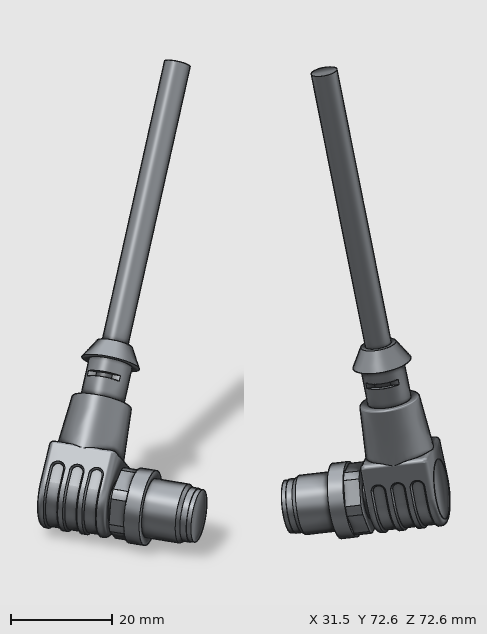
import cadquery as cq
import math

OVERALL = 72.6
TILT = 45.0

HOUSING_R = 7.25
HOUSING_HALF_LENGTH = 7.0
HOUSING_TOP = 8.85
HOUSING_DRAFT = 3.0
END_FILLET = 1.1
TOP_FILLET = 0.8
CAP_R = 12.0 / 2
CAP_RECESS = 0.1

GROOVE_COUNT = 3
GROOVE_PITCH = 4.0
GROOVE_WIDTH = 3.0
GROOVE_FLOOR_WIDTH = 2.3
GROOVE_DEPTH = 0.4
GROOVE_END = 4.4

BOOT_BASE_R = 6.8
BOOT_TOP_R = 12.0 / 2
BOOT_TOP = 19.6
BOOT_FILLET = 0.35
COLLAR_R = 8.7 / 2
SLIT_BOTTOM = 23.7
SLIT_HEIGHT = 1.1
SLIT_DEPTH = 1.5
SLIT_CORE_R = 3.3
SKIRT_BOTTOM = 27.6
SKIRT_TOP = 31.5
SKIRT_R = 11.7 / 2
SKIRT_TOP_R = 3.55
CABLE_R = 5.2 / 2

NECK_R = 8.7 / 2
NUT_START = 8.05
NUT_FLATS = 13.2
NUT_CORNER_R = 7.1
NUT_TURN = 30.0
FLANGE_START = 11.25
FLANGE_R = 15.0 / 2
BARREL_START = 14.45
BARREL_R = 11.8 / 2
TAPER_START = 21.4
TAPER_END = 22.2
NOSE_R = 10.8 / 2
TIP_START = 23.5
TIP_R = 10.5 / 2
PLUG_END = 24.5

CABLE_END = (OVERALL - FLANGE_R) / math.cos(math.radians(TILT)) - CABLE_R


def cylinder_z(radius, bottom, top):
    return cq.Workplane("XY").workplane(offset=bottom).circle(radius).extrude(top - bottom)


def turned_x(points):
    """Solid of revolution about X from (x, radius) points."""
    return cq.Workplane("XY").polyline(points).close().revolve(360, (0, 0, 0), (1, 0, 0))


def make_housing():
    draft = math.radians(HOUSING_DRAFT)
    tangent_y = HOUSING_R * math.cos(draft)
    tangent_z = HOUSING_R * math.sin(draft)
    top_y = tangent_y - (HOUSING_TOP - tangent_z) * math.tan(draft)
    housing = (
        cq.Workplane("YZ", origin=(-HOUSING_HALF_LENGTH, 0, 0))
        .moveTo(tangent_y, tangent_z)
        .lineTo(top_y, HOUSING_TOP)
        .lineTo(-top_y, HOUSING_TOP)
        .lineTo(-tangent_y, tangent_z)
        .threePointArc((0, -HOUSING_R), (tangent_y, tangent_z))
        .close()
        .extrude(2 * HOUSING_HALF_LENGTH)
    )
    housing = housing.faces("<X or >X").edges("not >Z").fillet(END_FILLET)
    housing = housing.faces(">Z").edges().fillet(TOP_FILLET)
    cap = cq.Workplane("YZ", origin=(-HOUSING_HALF_LENGTH, 0, 0)).circle(CAP_R).extrude(CAP_RECESS)
    return housing.cut(cap)


def make_groove(x):
    """Groove with sloped walls: around the round side, up both flats, with half-round ends."""
    floor_r = HOUSING_R - GROOVE_DEPTH
    slope = (GROOVE_WIDTH - GROOVE_FLOOR_WIDTH) / 2 / GROOVE_DEPTH
    rim_r = HOUSING_R + GROOVE_DEPTH
    floor_half = GROOVE_FLOOR_WIDTH / 2
    rim_half = floor_half + slope * (rim_r - floor_r)
    end_z = GROOVE_END - GROOVE_WIDTH / 2
    section = [
        (x - floor_half, floor_r),
        (x + floor_half, floor_r),
        (x + rim_half, rim_r),
        (x - rim_half, rim_r),
    ]
    around = (
        cq.Workplane("XY").polyline(section).close()
        .revolve(180 + 2 * HOUSING_DRAFT, (0, 0, 0), (-1, 0, 0))
        .rotate((0, 0, 0), (1, 0, 0), HOUSING_DRAFT)
    )
    straight = cq.Workplane("XY").polyline(section).close().extrude(end_z)
    end_cone = cq.Workplane(cq.Solid.makeCone(
        floor_half, rim_half, rim_r - floor_r, cq.Vector(x, floor_r, end_z), cq.Vector(0, 1, 0)
    ))
    flat_run = straight.union(end_cone).rotate((0, 0, 0), (1, 0, 0), HOUSING_DRAFT)
    return around.union(flat_run).union(flat_run.mirror("XZ"))


def make_boot():
    foot_z = HOUSING_TOP - TOP_FILLET
    boot = (
        cq.Workplane("XZ")
        .polyline([(0, foot_z), (BOOT_BASE_R, foot_z), (BOOT_TOP_R, BOOT_TOP), (0, BOOT_TOP)])
        .close()
        .revolve(360, (0, 0, 0), (0, 1, 0))
    )
    return boot.faces(">Z").edges().fillet(BOOT_FILLET)


def make_collar():
    """Collar with a slit cut into each side, down to a round core."""
    collar = cylinder_z(COLLAR_R, BOOT_TOP, SKIRT_BOTTOM)
    for side in (-1, 1):
        slit = cq.Workplane("XY").box(2 * COLLAR_R, 2 * SLIT_DEPTH, SLIT_HEIGHT, centered=(True, True, False))
        collar = collar.cut(slit.translate((0, side * COLLAR_R, SLIT_BOTTOM)))
    return collar.union(cylinder_z(SLIT_CORE_R, BOOT_TOP, SKIRT_BOTTOM))


def make_skirt():
    return cq.Workplane(cq.Solid.makeCone(
        SKIRT_R, SKIRT_TOP_R, SKIRT_TOP - SKIRT_BOTTOM, cq.Vector(0, 0, SKIRT_BOTTOM), cq.Vector(0, 0, 1)
    ))


def make_nut():
    """Hexagon with its corners turned round; two corners point square to the cable."""
    length = FLANGE_START - NUT_START
    blank = cq.Workplane("YZ", origin=(NUT_START, 0, 0))
    hexagon = blank.polygon(6, NUT_FLATS, circumscribed=True).extrude(length)
    hexagon = hexagon.rotate((0, 0, 0), (1, 0, 0), NUT_TURN)
    return hexagon.intersect(blank.circle(NUT_CORNER_R).extrude(length))


def make_plug():
    turned = turned_x([
        (0, 0), (0, NECK_R), (FLANGE_START, NECK_R),
        (FLANGE_START, FLANGE_R), (BARREL_START, FLANGE_R),
        (BARREL_START, BARREL_R), (TAPER_START, BARREL_R),
        (TAPER_END, NOSE_R), (TIP_START, NOSE_R),
        (TIP_START, TIP_R), (PLUG_END, TIP_R), (PLUG_END, 0),
    ])
    return turned.union(make_nut())


housing = make_housing()
for index in range(GROOVE_COUNT):
    housing = housing.cut(make_groove((index - (GROOVE_COUNT - 1) / 2) * GROOVE_PITCH))

connector = (
    housing.union(make_plug())
    .union(make_boot())
    .union(make_collar())
    .union(make_skirt())
    .union(cylinder_z(CABLE_R, SKIRT_TOP, CABLE_END))
)
result = connector.rotate((0, 0, 0), (1, 0, 0), -TILT)